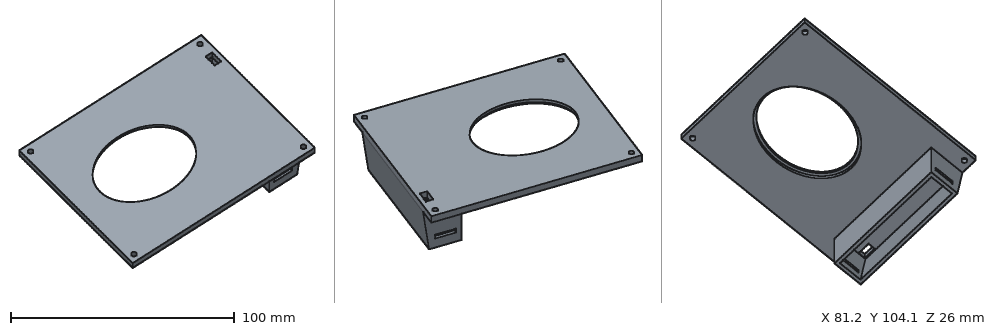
import cadquery as cq

plate_width = 81.2
plate_length = 104.1
plate_thickness = 3.6
back_y = plate_length / 2

screw_diameter = 2.5
screw_inset = 3.6

opening_width = 38.0
opening_length = 50.8
opening_y = -12.9

recess_border = 1.5
recess_depth = 2.1

total_height = 26.0
housing_height = total_height - plate_thickness
housing_width = 63.7
housing_depth = 19.1
back_taper = 3.0
wall = 1.8

slot_length = 10.4
slot_height = 2.1
slot_back_inset = 5.9
slot_bottom_inset = 5.2

cable_width = 6.5
cable_length = 3.6
cable_back_inset = 2.4
cable_side_inset = 10.7


def tapered_block(width, inset):
    """Block below the plate whose front and back faces are inset from the housing."""
    top_back = back_y - inset
    bottom_back = top_back - back_taper
    front = back_y - housing_depth + inset
    profile = [(top_back, 0), (front, 0), (front, -housing_height), (bottom_back, -housing_height)]
    return cq.Workplane("YZ").polyline(profile).close().extrude(width / 2, both=True)


def elliptical_block(border, height):
    """Block rising from Z = 0, wider than the opening by the border all round."""
    return (
        cq.Workplane("XY")
        .center(0, opening_y)
        .ellipse(opening_width / 2 + border, opening_length / 2 + border)
        .extrude(height)
    )


def make_plate():
    plate = cq.Workplane("XY").box(
        plate_width, plate_length, plate_thickness, centered=(True, True, False)
    )
    screw_holes = (
        cq.Workplane("XY")
        .rect(plate_width - 2 * screw_inset, plate_length - 2 * screw_inset, forConstruction=True)
        .vertices()
        .circle(screw_diameter / 2)
        .extrude(plate_thickness)
    )
    opening = elliptical_block(0, plate_thickness)
    recess = elliptical_block(recess_border, recess_depth)
    cable_x = -plate_width / 2 + cable_side_inset + cable_width / 2
    cable_y = back_y - cable_back_inset - cable_length / 2
    cable_hole = (
        cq.Workplane("XY")
        .center(cable_x, cable_y)
        .rect(cable_width, cable_length)
        .extrude(plate_thickness)
    )
    return plate.cut(screw_holes).cut(opening).cut(recess).cut(cable_hole)


def make_housing():
    outside = tapered_block(housing_width, 0)
    cavity = tapered_block(housing_width - 2 * wall, wall)
    slot_y = back_y - slot_back_inset - slot_length / 2
    slot_z = -housing_height + slot_bottom_inset + slot_height / 2
    slot = cq.Workplane("XY").box(housing_width, slot_length, slot_height)
    return outside.cut(cavity).cut(slot.translate((0, slot_y, slot_z)))


result = make_plate().union(make_housing())